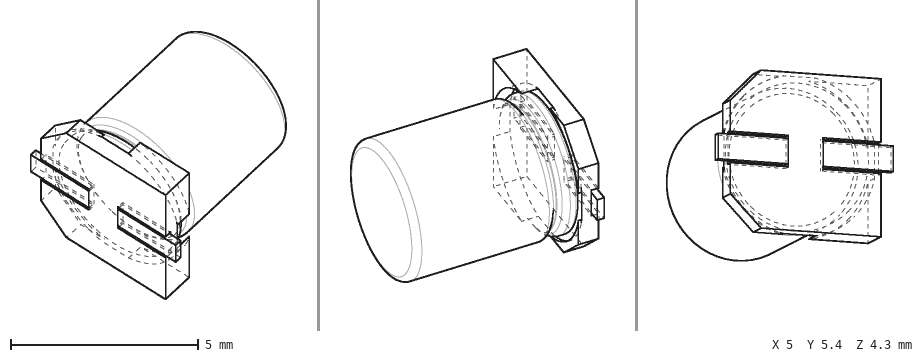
import cadquery as cq
import math

total_height = 5.4
lead_span = 5.0

base_width = 4.3
base_low_height = 0.6
base_high_height = 1.0
corner_chamfer = 0.875
seat_radius = 2.2
seat_height = 0.5

lead_width = 0.69
lead_thickness = 0.21
lead_inner_gap = 0.995
slot_width = 0.86

can_radius = 2.0
top_fillet = 0.2
bottom_fillet = base_low_height - seat_height
groove_height = 1.085
groove_half_length = 0.315
groove_depth = 0.195
groove_root_half_length = 0.13
groove_flat = 0.02

half_width = base_width / 2
seat_half_opening = math.sqrt(seat_radius**2 - half_width**2)
lead_length = (lead_span - lead_inner_gap) / 2


def plate_from_mounting_face(center_x, width_x, width_z, height):
    """Rectangular block rising in +Y from the mounting face, centred on Z = 0."""
    return (
        cq.Workplane("XY")
        .box(width_x, height, width_z, centered=(True, False, True))
        .translate((center_x, 0, 0))
    )


def make_base():
    base = plate_from_mounting_face(0, base_width, base_width, base_high_height)
    base = base.edges("|Y and <X").chamfer(corner_chamfer)

    step_length = half_width + seat_half_opening
    step_center = (seat_half_opening - half_width) / 2
    step = plate_from_mounting_face(step_center, step_length, base_width, base_high_height)
    base = base.cut(step.translate((0, base_low_height, 0)))

    seat_depth = base_high_height - seat_height
    seat = cq.Workplane("XZ", origin=(0, seat_height, 0)).circle(seat_radius).extrude(-seat_depth)
    base = base.cut(seat)

    slot_length = half_width - lead_inner_gap / 2
    for side in (-1, 1):
        slot_center = side * (lead_inner_gap + slot_length) / 2
        base = base.cut(plate_from_mounting_face(slot_center, slot_length, slot_width, lead_thickness))
    return base


def make_lead(side):
    """Flat lead; side is -1 or 1 along X."""
    lead_center = side * (lead_inner_gap + lead_length) / 2
    return plate_from_mounting_face(lead_center, lead_length, lead_width, lead_thickness)


def make_can():
    groove_root_radius = can_radius - groove_depth
    half_flat = groove_flat / 2
    root_share = (groove_root_half_length - half_flat) / (groove_half_length - half_flat)
    flank_radius = groove_root_radius + groove_depth * root_share
    lip_bottom = groove_height - groove_half_length
    lip_top = groove_height + groove_half_length
    along_axis = (0, 1)
    profile = (
        cq.Workplane("XY")
        .moveTo(0, seat_height)
        .lineTo(can_radius - bottom_fillet, seat_height)
        .tangentArcPoint((can_radius, seat_height + bottom_fillet), relative=False)
        .lineTo(can_radius, lip_bottom)
        .tangentArcPoint((flank_radius, groove_height - groove_root_half_length), relative=False)
        .tangentArcPoint((groove_root_radius, groove_height - half_flat), relative=False)
        .lineTo(groove_root_radius, groove_height + half_flat)
        .tangentArcPoint((flank_radius, groove_height + groove_root_half_length), relative=False)
        .tangentArcPoint((can_radius, lip_top), relative=False)
        .lineTo(can_radius, total_height - top_fillet)
        .tangentArcPoint((can_radius - top_fillet, total_height), relative=False)
        .lineTo(0, total_height)
        .close()
    )
    return profile.revolve(360, (0, 0), along_axis)


base = make_base()
can = make_can()
leads = [make_lead(side) for side in (-1, 1)]

result = cq.Compound.makeCompound([base.val(), can.val(), *[lead.val() for lead in leads]])